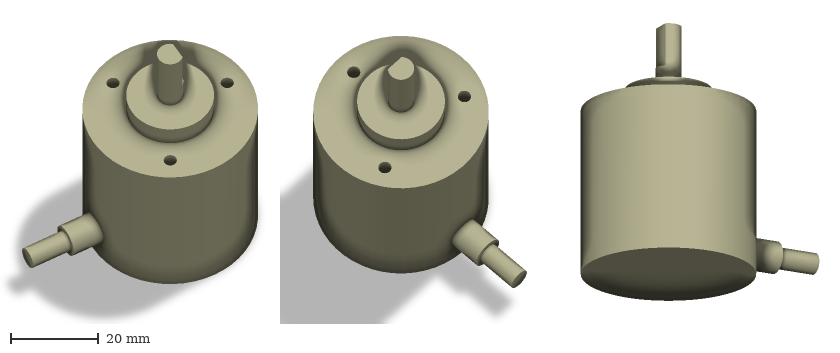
import cadquery as cq

housing_diameter = 40.0
housing_height = 37.0
flange_thickness = 2.0
flange_top = housing_height + flange_thickness

boss_diameter = 20.0
boss_height = 5.0
boss_top = flange_top + boss_height
shaft_diameter = 6.0
shaft_length = 15.0
shaft_top = boss_top + shaft_length
flat_offset = 2.0
flat_length = 10.0

hole_count = 3
hole_diameter = 3.0
hole_circle_radius = 15.0
hole_depth = 5.0
first_hole_angle = 90.0

cable_height = 8.0
gland_diameter = 7.5
gland_reach = 27.5
cable_diameter = 5.0
cable_reach = 37.5


def upright_cylinder(diameter, bottom, height):
    return cq.Workplane("XY").workplane(offset=bottom).circle(diameter / 2).extrude(height)


def side_cylinder(diameter, reach):
    """Cylinder from the housing axis out toward -Y at the cable height."""
    return cq.Workplane("XZ").center(0, cable_height).circle(diameter / 2).extrude(reach)


def make_shaft():
    shaft = upright_cylinder(shaft_diameter, boss_top, shaft_length)
    flat_cut = (
        cq.Workplane("XY", origin=(0, flat_offset, shaft_top - flat_length))
        .box(shaft_diameter, shaft_diameter, flat_length, centered=(True, False, False))
    )
    return shaft.cut(flat_cut)


def make_mounting_holes():
    return (
        cq.Workplane("XY", origin=(0, 0, flange_top))
        .polarArray(hole_circle_radius, first_hole_angle, 360, hole_count)
        .circle(hole_diameter / 2)
        .extrude(-hole_depth)
    )


housing = upright_cylinder(housing_diameter, 0, housing_height)
flange = upright_cylinder(housing_diameter, housing_height, flange_thickness)
boss = upright_cylinder(boss_diameter, flange_top, boss_height)
gland = side_cylinder(gland_diameter, gland_reach)
cable = side_cylinder(cable_diameter, cable_reach)

result = (
    housing.union(flange, clean=False)
    .union(boss, clean=False)
    .union(make_shaft(), clean=False)
    .union(gland, clean=False)
    .union(cable, clean=False)
    .cut(make_mounting_holes(), clean=False)
)